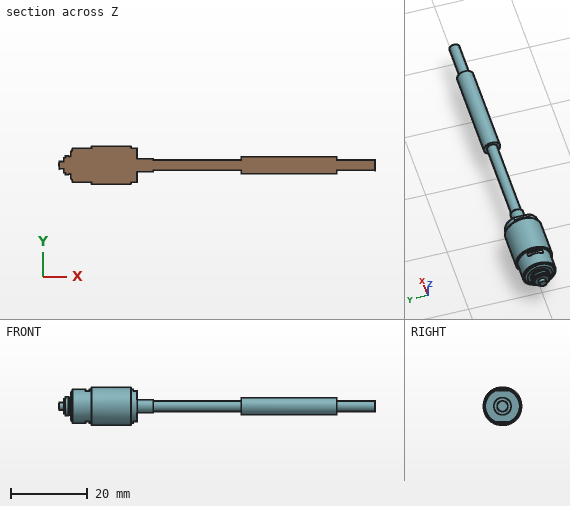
import cadquery as cq

PIN_END = 1.25
NOSE_END = 1.75
COLLAR_END = 2.5
GROOVE_END = 3.1
SHOULDER_END = 3.5
FRONT_FLAT_START = 7.0
FRONT_FLAT_END = 8.0
NUT_START = 8.5
NUT_END = 19.0
REAR_FLAT_START = 19.5
BODY_END = 20.5
FERRULE_END = 24.7
SLEEVE_START = 47.65
SLEEVE_LENGTH = 25.0
CABLE_END = 82.7

PIN_DIAMETER = 2.0
NOSE_DIAMETER = 4.0
COLLAR_DIAMETER = 5.0
GROOVE_DIAMETER = 4.5
SHOULDER_SMALL_DIAMETER = 6.7
SHOULDER_LARGE_DIAMETER = 8.0
BODY_DIAMETER = 9.0
NUT_DIAMETER = 10.0
FERRULE_DIAMETER = 3.5
CABLE_DIAMETER = 2.8
SLEEVE_DIAMETER = 4.5

PIN_DOME_HEIGHT = 0.15
SHOULDER_BULGE = 0.05
BODY_CHAMFER = 0.2
NUT_FRONT_CHAMFER = 0.15
NUT_REAR_CHAMFER = 0.25

FLAT_SPACING = 8.0


def cylinder(start, end, diameter):
    """Solid cylinder around the X axis between two stations."""
    return cq.Workplane("YZ", origin=(start, 0, 0)).circle(diameter / 2).extrude(end - start)


def turned(half_profile):
    """Close a half profile that starts and ends on the X axis and revolve it."""
    return half_profile.close().revolve(360, (0, 0, 0), (1, 0, 0))


def contact_pin():
    """Contact pin with a slightly domed tip."""
    radius = PIN_DIAMETER / 2
    dome_radius = (radius**2 + PIN_DOME_HEIGHT**2) / (2 * PIN_DOME_HEIGHT)
    return turned(
        cq.Workplane("XY")
        .radiusArc((PIN_DOME_HEIGHT, radius), dome_radius)
        .lineTo(PIN_END, radius)
        .lineTo(PIN_END, 0)
    )


def nose():
    """Stepped nose with a V-groove between its collar and the body."""
    collar_radius = COLLAR_DIAMETER / 2
    groove_middle = (COLLAR_END + GROOVE_END) / 2
    tip = cylinder(PIN_END, NOSE_END, NOSE_DIAMETER)
    grooved_collar = turned(
        cq.Workplane("XY")
        .moveTo(NOSE_END, 0)
        .lineTo(NOSE_END, collar_radius)
        .lineTo(COLLAR_END, collar_radius)
        .lineTo(groove_middle, GROOVE_DIAMETER / 2)
        .lineTo(GROOVE_END, collar_radius)
        .lineTo(GROOVE_END, 0)
    )
    return tip.union(grooved_collar)


def shoulder():
    """Rounded shoulder that widens from the nose toward the body."""
    return turned(
        cq.Workplane("XY")
        .moveTo(GROOVE_END, 0)
        .lineTo(GROOVE_END, SHOULDER_SMALL_DIAMETER / 2)
        .sagittaArc((SHOULDER_END, SHOULDER_LARGE_DIAMETER / 2), SHOULDER_BULGE)
        .lineTo(SHOULDER_END, 0)
    )


def flat_pair(start, end):
    """Material removed to leave two parallel flats between two stations."""
    length = end - start
    depth = (BODY_DIAMETER - FLAT_SPACING) / 2
    center_x = (start + end) / 2
    center_z = (FLAT_SPACING + depth) / 2
    upper = cq.Workplane("XY").box(length, BODY_DIAMETER, depth).translate((center_x, 0, center_z))
    return upper.union(upper.mirror("XY"))


def body():
    """Connector body with flats in front of and behind the nut."""
    barrel = cylinder(SHOULDER_END, BODY_END, BODY_DIAMETER).faces("<X").chamfer(BODY_CHAMFER)
    front_flats = flat_pair(FRONT_FLAT_START, FRONT_FLAT_END)
    rear_flats = flat_pair(REAR_FLAT_START, BODY_END)
    return barrel.cut(front_flats).cut(rear_flats)


def nut():
    """Coupling nut with both outer edges chamfered."""
    blank = cylinder(NUT_START, NUT_END, NUT_DIAMETER)
    return blank.faces("<X").chamfer(NUT_FRONT_CHAMFER).faces(">X").chamfer(NUT_REAR_CHAMFER)


def cable():
    """Cable with its ferrule at the connector and a sleeve farther along."""
    core = cylinder(BODY_END, CABLE_END, CABLE_DIAMETER)
    ferrule = cylinder(BODY_END, FERRULE_END, FERRULE_DIAMETER)
    sleeve = cylinder(SLEEVE_START, SLEEVE_START + SLEEVE_LENGTH, SLEEVE_DIAMETER)
    return core.union(ferrule).union(sleeve)


result = contact_pin().union(nose()).union(shoulder()).union(body()).union(nut()).union(cable())